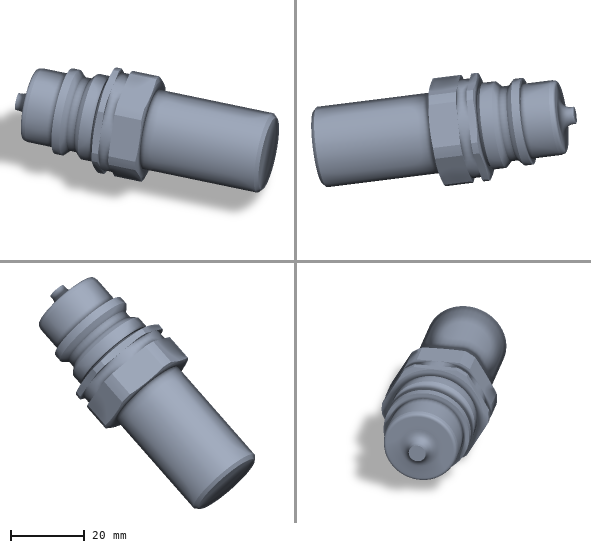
import cadquery as cq
import math

total_length = 71.0

tip_radius = 2.35
nose_radius = 10.2
collar_radius = 11.85
relief_radius = 10.85
shank_radius = 11.0
hex_groove_radius = 13.5

tip_straight_end = 0.7
nose_face = 3.7
nose_taper_end = 5.1
front_collar_start = 13.05
front_collar_end = 15.3
rear_collar_start = 20.6
rear_collar_end = 24.0
hex_start = 24.9
hex_groove_start = 27.0
hex_groove_end = 29.95
hex_end = 37.9

nose_taper_angle = math.radians(14)
nose_edge_radius = 0.85
collar_bevel = collar_radius - nose_radius
shank_chamfer = 1.0

across_flats = 27.0
hex_corner_radius = 14.73
hex_face_radius = 13.35
hex_chamfer_length = 0.35


def revolve_about_x(profile):
    """Turn a closed XY profile about the X axis."""
    return profile.close().revolve(360, (0, 0, 0), (1, 0, 0))


def make_turned_body():
    """Probe tip, nose, locking collars and shank as one revolved profile."""
    flare_radius = nose_face - tip_straight_end
    flare_offset = flare_radius * math.sqrt(0.5)
    flare_middle = (
        tip_straight_end + flare_offset,
        tip_radius + flare_radius - flare_offset,
    )

    edge_center_x = nose_face + nose_edge_radius
    edge_end_x = edge_center_x - nose_edge_radius * math.sin(nose_taper_angle)
    edge_end_radius = nose_radius - (nose_taper_end - edge_end_x) * math.tan(nose_taper_angle)
    edge_center_radius = edge_end_radius - nose_edge_radius * math.cos(nose_taper_angle)
    middle_angle = (math.pi / 2 + nose_taper_angle) / 2
    edge_middle = (
        edge_center_x - nose_edge_radius * math.sin(middle_angle),
        edge_center_radius + nose_edge_radius * math.cos(middle_angle),
    )

    profile = (
        cq.Workplane("XY")
        .moveTo(0, 0)
        .lineTo(0, tip_radius)
        .lineTo(tip_straight_end, tip_radius)
        .threePointArc(flare_middle, (nose_face, tip_radius + flare_radius))
        .lineTo(nose_face, edge_center_radius)
        .threePointArc(edge_middle, (edge_end_x, edge_end_radius))
        .lineTo(nose_taper_end, nose_radius)
        .lineTo(front_collar_start, nose_radius)
        .lineTo(front_collar_start, collar_radius)
        .lineTo(front_collar_end, collar_radius)
        .lineTo(front_collar_end + collar_bevel, nose_radius)
        .lineTo(rear_collar_start - collar_bevel, nose_radius)
        .lineTo(rear_collar_start, collar_radius)
        .lineTo(rear_collar_end, collar_radius)
        .lineTo(rear_collar_end, relief_radius)
        .lineTo(hex_start, relief_radius)
        .lineTo(hex_start, shank_radius)
        .lineTo(total_length - shank_chamfer, shank_radius)
        .lineTo(total_length, shank_radius - shank_chamfer)
        .lineTo(total_length, 0)
    )
    return revolve_about_x(profile)


def make_hexagon():
    """Wrench hexagon with flats facing +Z and -Z, rounded corners and a groove."""
    across_corners = across_flats / math.cos(math.pi / 6)
    prism = (
        cq.Workplane("YZ")
        .workplane(offset=hex_start)
        .polygon(6, across_corners)
        .extrude(hex_end - hex_start)
    )
    envelope = revolve_about_x(
        cq.Workplane("XY")
        .moveTo(hex_start, 0)
        .lineTo(hex_start, hex_face_radius)
        .lineTo(hex_start + hex_chamfer_length, hex_corner_radius)
        .lineTo(hex_groove_start, hex_corner_radius)
        .lineTo(hex_groove_start, hex_groove_radius)
        .lineTo(hex_groove_end, hex_groove_radius)
        .lineTo(hex_groove_end, hex_corner_radius)
        .lineTo(hex_end - hex_chamfer_length, hex_corner_radius)
        .lineTo(hex_end, hex_face_radius)
        .lineTo(hex_end, 0)
    )
    return prism.intersect(envelope)


result = make_turned_body().union(make_hexagon())